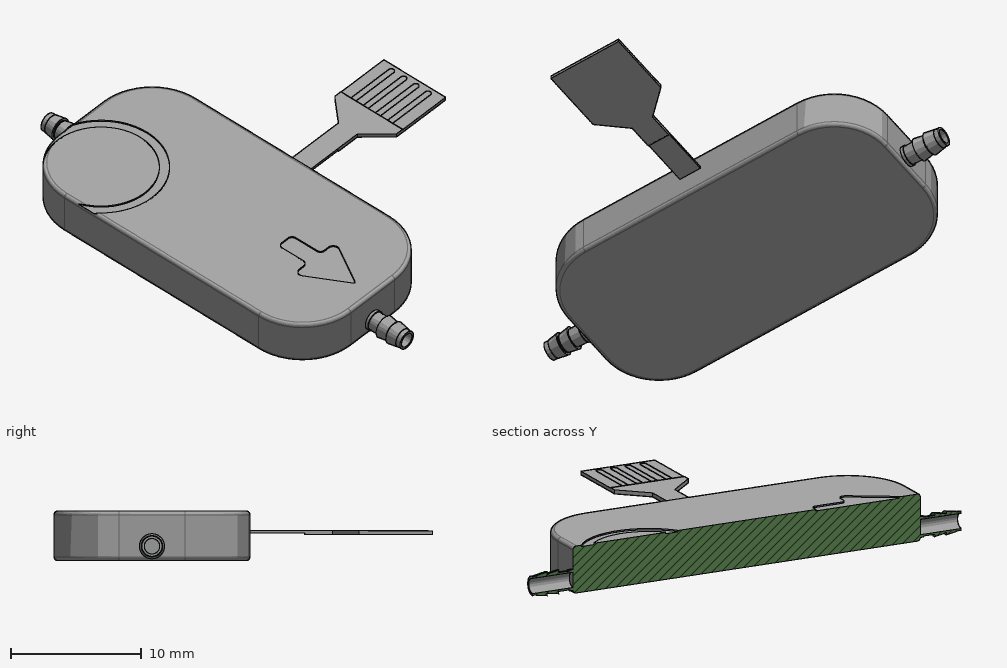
import cadquery as cq
import math

HOUSING_LENGTH = 30.0
HOUSING_WIDTH = 15.02
HOUSING_HEIGHT = 3.8
CORNER_RADIUS = 5.0
RIM_FILLET = 0.3

MARK_DEPTH = 0.1
RING_X = -10.1
RING_Y = -3.22
RING_OUTER_RADIUS = 5.25
RING_INNER_RADIUS = 4.48
ARROW_TAIL_X = 5.95
ARROW_HEAD_X = 8.95
ARROW_SHAFT_HALF_WIDTH = 0.78
ARROW_HEAD_LENGTH = 4.33
ARROW_TIP_HALF_ANGLE = 30
ARROW_SHAFT_RADIUS = 0.4
ARROW_HEAD_RADIUS = 0.48
ARROW_TIP_RADIUS = 0.15

OVERALL_LENGTH = 37.0
FITTING_AXIS_Z = 1.1
TUBE_RADIUS = 0.78
BORE_RADIUS = 0.6
BARB_START_RADIUS = 0.8
BARB_CREST_RADIUS = 0.95
BARB_COUNT = 2
TIP_LENGTH = 0.4
BARB_LENGTH = 0.9
BARB_PITCH = 1.0
COLLAR_RADIUS = 0.85
COLLAR_LENGTH = 0.25
FITTING_LENGTH = (OVERALL_LENGTH - HOUSING_LENGTH) / 2

CABLE_LENGTH = 14.0
CABLE_TOP_Z = 2.33
CABLE_THICKNESS = 0.22
TAIL_WIDTH = 1.92
HEAD_WIDTH = 6.35
HEAD_LENGTH = 5.62
TAPER_LENGTH = 2.05
STIFFENER_LENGTH = 9.8
STIFFENER_THICKNESS = 0.1
CABLE_ROOT_Y = HOUSING_WIDTH / 2
CABLE_TIP_Y = CABLE_ROOT_Y + CABLE_LENGTH

EXPOSED_LENGTH = 4.92
CONTACT_COUNT = 4
CONTACT_PITCH = 1.25
CONTACT_WIDTH = 0.5
CONTACT_THICKNESS = 0.05
CONTACT_TIP_GAP = 0.35


def make_block():
    block = cq.Workplane("XY").box(
        HOUSING_LENGTH, HOUSING_WIDTH, HOUSING_HEIGHT, centered=(True, True, False)
    )
    return block.edges("|Z").fillet(CORNER_RADIUS).faces("<Z or >Z").edges().fillet(RIM_FILLET)


def top_mark_plane():
    return cq.Workplane("XY").workplane(offset=HOUSING_HEIGHT - MARK_DEPTH)


def make_ring_groove():
    ring = top_mark_plane().center(RING_X, RING_Y).circle(RING_OUTER_RADIUS).circle(RING_INNER_RADIUS)
    return ring.extrude(MARK_DEPTH)


def make_arrow_recess():
    tip_x = ARROW_HEAD_X + ARROW_HEAD_LENGTH
    head_half_width = ARROW_HEAD_LENGTH * math.tan(math.radians(ARROW_TIP_HALF_ANGLE))
    arrow = (
        top_mark_plane()
        .moveTo(ARROW_TAIL_X, -ARROW_SHAFT_HALF_WIDTH)
        .lineTo(ARROW_HEAD_X, -ARROW_SHAFT_HALF_WIDTH)
        .lineTo(ARROW_HEAD_X, -head_half_width)
        .lineTo(tip_x, 0)
        .lineTo(ARROW_HEAD_X, head_half_width)
        .lineTo(ARROW_HEAD_X, ARROW_SHAFT_HALF_WIDTH)
        .lineTo(ARROW_TAIL_X, ARROW_SHAFT_HALF_WIDTH)
        .close()
        .extrude(MARK_DEPTH)
    )
    arrow = arrow.edges("|Z and >X").fillet(ARROW_TIP_RADIUS)
    arrow = arrow.edges("|Z and (<Y or >Y)").fillet(ARROW_HEAD_RADIUS)
    margin = ARROW_SHAFT_HALF_WIDTH / 2
    shaft_corners = cq.selectors.BoxSelector(
        (ARROW_TAIL_X - margin, -ARROW_SHAFT_HALF_WIDTH - margin, 0),
        (ARROW_HEAD_X + margin, ARROW_SHAFT_HALF_WIDTH + margin, HOUSING_HEIGHT),
    )
    return arrow.edges("|Z").edges(shaft_corners).fillet(ARROW_SHAFT_RADIUS)


def make_fitting():
    """Fitting on the +X end, from the housing face out to the tip."""
    tip_x = OVERALL_LENGTH / 2
    face_x = HOUSING_LENGTH / 2

    def sleeve(start_x, length, radius):
        return cq.Workplane("YZ", origin=(start_x, 0, FITTING_AXIS_Z)).circle(radius).extrude(length)

    fitting = sleeve(face_x, FITTING_LENGTH, TUBE_RADIUS)
    fitting = fitting.union(sleeve(face_x, COLLAR_LENGTH, COLLAR_RADIUS))
    for index in range(BARB_COUNT):
        crest_x = tip_x - TIP_LENGTH - BARB_LENGTH - index * BARB_PITCH
        barb = cq.Solid.makeCone(
            BARB_CREST_RADIUS,
            BARB_START_RADIUS,
            BARB_LENGTH,
            pnt=cq.Vector(crest_x, 0, FITTING_AXIS_Z),
            dir=cq.Vector(1, 0, 0),
        )
        fitting = fitting.union(cq.Workplane(barb))
    return fitting.cut(sleeve(face_x, FITTING_LENGTH, BORE_RADIUS))


def make_housing():
    fitting = make_fitting()
    housing = make_block().cut(make_ring_groove()).cut(make_arrow_recess())
    return housing.union(fitting).union(fitting.mirror("YZ")).solids()


def cable_layer(bottom_z, thickness):
    """Full cable outline, extruded upward from bottom_z."""
    shoulder_y = CABLE_TIP_Y - HEAD_LENGTH
    neck_y = shoulder_y - TAPER_LENGTH
    right_side = [
        (TAIL_WIDTH / 2, CABLE_ROOT_Y),
        (TAIL_WIDTH / 2, neck_y),
        (HEAD_WIDTH / 2, shoulder_y),
        (HEAD_WIDTH / 2, CABLE_TIP_Y),
    ]
    left_side = [(-x, y) for x, y in reversed(right_side)]
    outline = cq.Workplane("XY").workplane(offset=bottom_z).polyline(right_side + left_side).close()
    return outline.extrude(thickness)


def tip_block(length, bottom_z, thickness):
    """Block as wide as the head that covers the given length back from the cable tip."""
    block = cq.Workplane("XY").box(HEAD_WIDTH, length, thickness, centered=(True, False, False))
    return block.translate((0, CABLE_TIP_Y - length, bottom_z))


def make_cable():
    strip_bottom_z = CABLE_TOP_Z - CABLE_THICKNESS
    stiffener_bottom_z = strip_bottom_z - STIFFENER_THICKNESS
    strip = cable_layer(strip_bottom_z, CABLE_THICKNESS)
    exposed_end = tip_block(EXPOSED_LENGTH, CABLE_TOP_Z - CONTACT_THICKNESS, CONTACT_THICKNESS)
    stiffener = cable_layer(stiffener_bottom_z, STIFFENER_THICKNESS).intersect(
        tip_block(STIFFENER_LENGTH, stiffener_bottom_z, STIFFENER_THICKNESS)
    )
    return strip.cut(exposed_end).union(stiffener).solids()


def make_contact(center_x):
    """Strip with a rounded outer end that butts against the cover layer."""
    half_width = CONTACT_WIDTH / 2
    start_y = CABLE_TIP_Y - EXPOSED_LENGTH
    end_y = CABLE_TIP_Y - CONTACT_TIP_GAP
    return (
        cq.Workplane("XY", origin=(center_x, 0, CABLE_TOP_Z - CONTACT_THICKNESS))
        .moveTo(-half_width, start_y)
        .lineTo(half_width, start_y)
        .lineTo(half_width, end_y - half_width)
        .threePointArc((0, end_y), (-half_width, end_y - half_width))
        .close()
        .extrude(CONTACT_THICKNESS)
    )


housing = make_housing()
cable = make_cable()
contacts = []
for index in range(CONTACT_COUNT):
    contact_x = (index - (CONTACT_COUNT - 1) / 2) * CONTACT_PITCH
    contacts.append(make_contact(contact_x).val())

result = cq.Compound.makeCompound([housing.val(), cable.val(), *contacts])